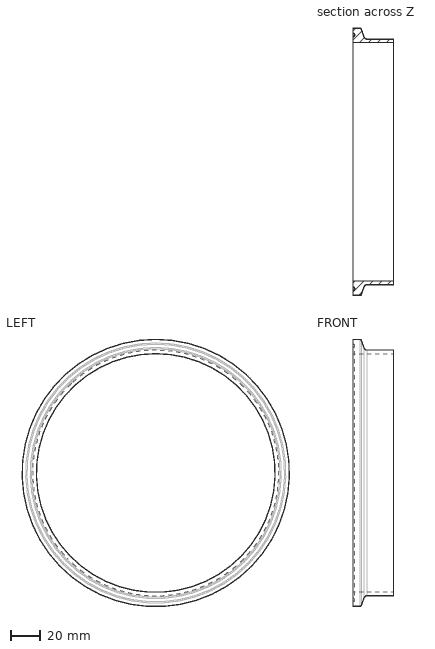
import cadquery as cq
import math

length = 28.0
flange_radius = 183.0 / 2
tube_outer_radius = 168.3 / 2
wall = 2.6
bore_radius = tube_outer_radius - wall

sharp_rim_width = 5.62
back_angle = math.radians(20.0)
rim_round = 1.0
neck_round = 2.0

groove_center_radius = 174.0 / 2
groove_depth = 1.3
groove_bottom_round = 1.2
lip_round = 1.0


def arc_points(center, radius, start_angle, turn):
    """Return the start, middle and end (X, radial) points of a circular arc."""
    center_x, center_r = center
    angles = (start_angle, start_angle + turn / 2, start_angle + turn)
    return [(center_x + radius * math.cos(a), center_r + radius * math.sin(a)) for a in angles]


def flange_back_arcs():
    """Return the neck arc (tube to cone) and the rim arc (cone to rim)."""
    cone_height = flange_radius - tube_outer_radius
    sharp_neck_x = sharp_rim_width + cone_height * math.tan(back_angle)
    turn = math.pi / 2 - back_angle
    tangent_ratio = math.tan(turn / 2)

    neck_center = (sharp_neck_x + neck_round * tangent_ratio, tube_outer_radius + neck_round)
    rim_center = (sharp_rim_width - rim_round * tangent_ratio, flange_radius - rim_round)
    neck_arc = arc_points(neck_center, neck_round, -math.pi / 2, -turn)
    rim_arc = arc_points(rim_center, rim_round, back_angle, turn)
    return neck_arc, rim_arc


def groove_lip_arcs():
    """Return the outer lip (face to groove bottom) and the inner lip (groove bottom to face)."""
    center_distance = lip_round + groove_bottom_round
    axial_gap = center_distance - groove_depth
    radial_gap = math.sqrt(center_distance**2 - axial_gap**2)
    turn = math.atan2(radial_gap, axial_gap)

    outer_center = (lip_round, groove_center_radius + radial_gap)
    inner_center = (lip_round, groove_center_radius - radial_gap)
    outer_lip = arc_points(outer_center, lip_round, math.pi, turn)
    inner_lip = arc_points(inner_center, lip_round, math.pi - turn, turn)
    return outer_lip, inner_lip


def make_section():
    """Half section of the ferrule in the XZ plane, above the X axis."""
    neck_arc, rim_arc = flange_back_arcs()
    outer_lip, inner_lip = groove_lip_arcs()
    return (
        cq.Workplane("XZ")
        .moveTo(0, bore_radius)
        .lineTo(length, bore_radius)
        .lineTo(length, tube_outer_radius)
        .lineTo(*neck_arc[0])
        .threePointArc(*neck_arc[1:])
        .lineTo(*rim_arc[0])
        .threePointArc(*rim_arc[1:])
        .lineTo(0, flange_radius)
        .lineTo(*outer_lip[0])
        .threePointArc(*outer_lip[1:])
        .threePointArc((groove_depth, groove_center_radius), inner_lip[0])
        .threePointArc(*inner_lip[1:])
        .close()
    )


full_turn = 360
axis_start = (0, 0, 0)
axis_end = (1, 0, 0)
result = make_section().revolve(full_turn, axis_start, axis_end)